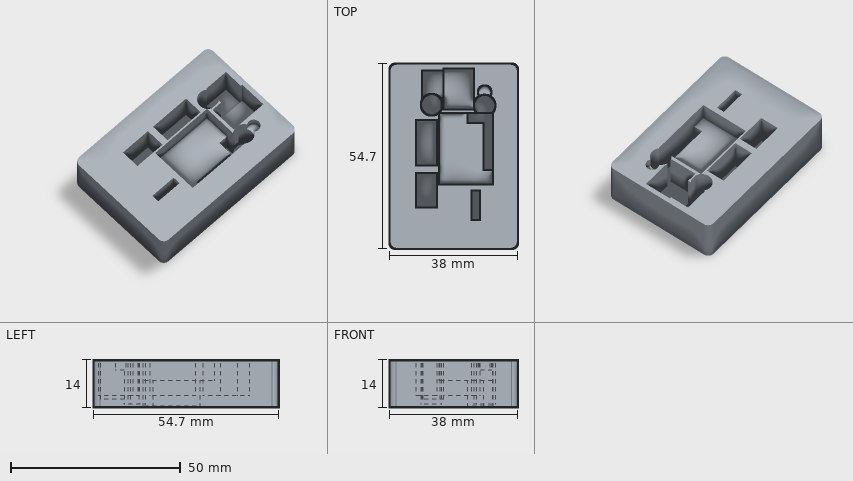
import cadquery as cq

BLOCK_WIDTH = 38.0
BLOCK_LENGTH = 54.74
BLOCK_HEIGHT = 14.0
CORNER_RADIUS = 2.0

BOARD_DEPTH = 6.0
SMALL_HOLE_DEPTH = 3.0
CONNECTOR_DEPTH = 10.5
SIDE_DEPTH = 11.5
LARGE_HOLE_DEPTH = 13.0
WELL_DEPTH = 13.5
SEPARATE_DEPTH = 10.5

BOARD_WIDTH = 16.0
BOARD_LENGTH = 21.15
BOARD_LEFT = -4.4
BOARD_BACK = 12.8
BOARD_RIGHT = BOARD_LEFT + BOARD_WIDTH
WELL_WIDTH = 7.53
WELL_LENGTH = 16.9
WELL_BACK_ARM = 3.05
WELL_SIDE_ARM = 2.87

CONNECTOR_WIDTH = 9.0
CONNECTOR_LENGTH = 12.1
CONNECTOR_LEFT = -3.0
CONNECTOR_BACK = 25.87
SIDE_WIDTH = 6.35
SIDE_LENGTH = 8.1
SIDE_LEFT = CONNECTOR_LEFT - SIDE_WIDTH
SIDE_BACK = 25.3

ROW_LEFT = -11.13
ROW_WIDTH = 6.2
LONG_POCKET_LENGTH = 13.45
LONG_POCKET_BACK = 10.7
SHORT_POCKET_LENGTH = 10.2
SHORT_POCKET_BACK = -4.88

SLOT_WIDTH = 2.5
SLOT_LENGTH = 8.65
SLOT_LEFT = 5.25
SLOT_BACK = -10.08

LARGE_HOLE_DIAMETER = 6.4
LEFT_HOLE_X = -6.5
LEFT_HOLE_Y = 15.2
HOLE_WALL = 0.55
RIGHT_HOLE_X = 9.1
RIGHT_HOLE_Y = 14.95
SMALL_HOLE_X = 9.15
SMALL_HOLE_DIAMETER = 4.0
SMALL_HOLE_Y = 18.9


def make_block():
    block = cq.Workplane("XY").box(BLOCK_WIDTH, BLOCK_LENGTH, BLOCK_HEIGHT, centered=(True, True, False))
    return block.edges("|Z").fillet(CORNER_RADIUS)


def rectangular_pocket(left, back, width, length, depth):
    """Box cutter placed by its -X side and its +Y side, open at the top face."""
    corner = (left, back - length, BLOCK_HEIGHT - depth)
    return cq.Workplane("XY").box(width, length, depth, centered=False).translate(corner)


def round_pocket(x, y, diameter, depth):
    """Cylindrical cutter centred on (x, y), open at the top face."""
    floor = cq.Workplane("XY", origin=(x, y, BLOCK_HEIGHT - depth))
    return floor.circle(diameter / 2).extrude(depth)


def cut_board_pocket(body):
    """Board pocket plus the two arms of its L-shaped well."""
    board = rectangular_pocket(BOARD_LEFT, BOARD_BACK, BOARD_WIDTH, BOARD_LENGTH, BOARD_DEPTH)
    back_arm = rectangular_pocket(
        BOARD_RIGHT - WELL_WIDTH, BOARD_BACK, WELL_WIDTH, WELL_BACK_ARM, WELL_DEPTH
    )
    side_arm = rectangular_pocket(
        BOARD_RIGHT - WELL_SIDE_ARM, BOARD_BACK, WELL_SIDE_ARM, WELL_LENGTH, WELL_DEPTH
    )
    return body.cut(board).cut(back_arm).cut(side_arm)


def connector_area(depth):
    return rectangular_pocket(CONNECTOR_LEFT, CONNECTOR_BACK, CONNECTOR_WIDTH, CONNECTOR_LENGTH, depth)


def cut_connector_pockets(body):
    connector = connector_area(CONNECTOR_DEPTH)
    side = rectangular_pocket(SIDE_LEFT, SIDE_BACK, SIDE_WIDTH, SIDE_LENGTH, SIDE_DEPTH)
    return body.cut(connector).cut(side)


def cut_separate_pockets(body):
    """The two pockets of the -X row and the narrow slot."""
    for left, back, width, length in (
        (ROW_LEFT, LONG_POCKET_BACK, ROW_WIDTH, LONG_POCKET_LENGTH),
        (ROW_LEFT, SHORT_POCKET_BACK, ROW_WIDTH, SHORT_POCKET_LENGTH),
        (SLOT_LEFT, SLOT_BACK, SLOT_WIDTH, SLOT_LENGTH),
    ):
        body = body.cut(rectangular_pocket(left, back, width, length, SEPARATE_DEPTH))
    return body


def cut_left_hole(body):
    """Large hole with a flat on its +X side, which keeps a thin wall to the connector pocket."""
    hole = round_pocket(LEFT_HOLE_X, LEFT_HOLE_Y, LARGE_HOLE_DIAMETER, LARGE_HOLE_DEPTH)
    wall = rectangular_pocket(
        CONNECTOR_LEFT - HOLE_WALL,
        LEFT_HOLE_Y + LARGE_HOLE_DIAMETER / 2,
        LARGE_HOLE_DIAMETER,
        LARGE_HOLE_DIAMETER,
        LARGE_HOLE_DEPTH,
    )
    return body.cut(hole.cut(wall))


def cut_right_holes(body):
    """Large hole trimmed flush with the connector pocket, and the shallow small hole that overlaps it."""
    large = round_pocket(RIGHT_HOLE_X, RIGHT_HOLE_Y, LARGE_HOLE_DIAMETER, LARGE_HOLE_DEPTH)
    small = round_pocket(SMALL_HOLE_X, SMALL_HOLE_Y, SMALL_HOLE_DIAMETER, SMALL_HOLE_DEPTH)
    trimmed = large.cut(connector_area(LARGE_HOLE_DEPTH))
    return body.cut(trimmed).cut(small)


result = make_block()
result = cut_board_pocket(result)
result = cut_connector_pockets(result)
result = cut_separate_pockets(result)
result = cut_left_hole(result)
result = cut_right_holes(result)